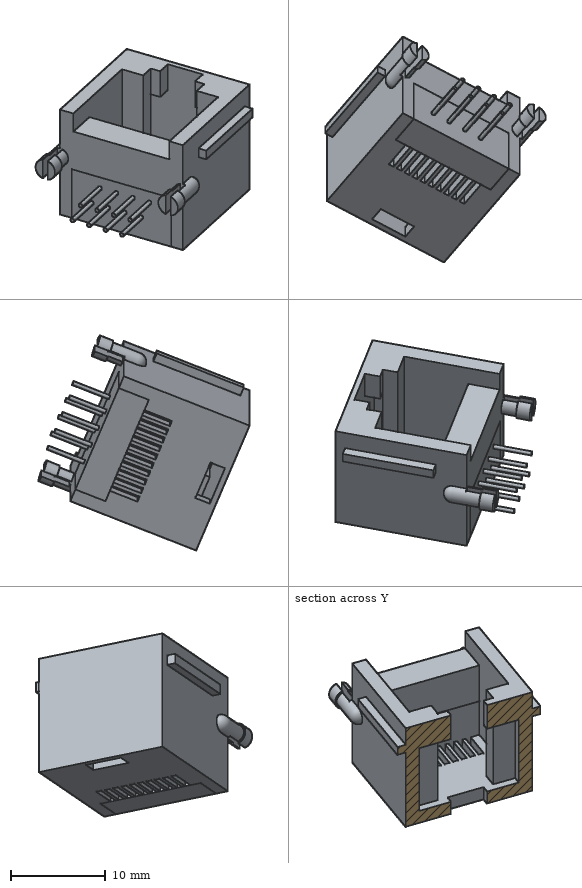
import cadquery as cq
import math


HOUSING_WIDTH = 15.0
HOUSING_LENGTH = 14.45
HOUSING_HEIGHT = 13.0

FRONT_WALL = 3.45
SIDE_WALL = 1.65
FLOOR_THICKNESS = SIDE_WALL
CAVITY_WIDTH = HOUSING_WIDTH - 2 * SIDE_WALL
KEYWAY_WIDTH = 6.53
LATCH_WIDTH = 4.25
CAVITY_BACK_WALL = 3.94
KEYWAY_BACK_WALL = 2.3
LATCH_BACK_WALL = 0.63
CATCH_HEIGHT = 3.19
ENTRY_NOTCH_DEPTH = 2.24

SLOT_COUNT = 10
SLOT_PITCH = 1.0
SLOT_WIDTH = 0.6
SLOT_LENGTH = 3.17

RAIL_PROTRUSION = 0.95
RAIL_HEIGHT = 1.08
RAIL_LENGTH = 10.0
RAIL_BACK_INSET = 1.06
RAIL_TOP_INSET = 2.16

PEG_RADIUS = 1.0
PEG_HEAD_RADIUS = 1.2
PEG_HEAD_LENGTH = 1.51
PEG_REACH = 3.19
PEG_EMBEDDED_LENGTH = 1.5
PEG_SPLIT = 0.62
PEG_Z = 7.2

CARRIER_WIDTH = 12.16
CARRIER_HEIGHT = 6.05
CARRIER_DEPTH = FRONT_WALL

PIN_DIAMETER = 0.47
PIN_LENGTH = 4.2
PINS_PER_ROW = 4
PIN_PITCH = 2 * SLOT_PITCH
LOWER_ROW_X = -0.6
UPPER_ROW_X = LOWER_ROW_X + PIN_PITCH / 2
LOWER_ROW_Z = 2.6
UPPER_ROW_Z = 4.72


def centred_box(width, y_front, y_back, z_bottom, z_top):
    """Box centred on X = 0 that spans the given Y and Z ranges."""
    corner = cq.Vector(-width / 2, y_front, z_bottom)
    return cq.Workplane(cq.Solid.makeBox(width, y_back - y_front, z_top - z_bottom, corner))


def make_cavity():
    """Stepped plug opening, with a recess under the catches beside the latch notch."""
    top = HOUSING_HEIGHT
    keyway_back = HOUSING_LENGTH - KEYWAY_BACK_WALL
    latch_back = HOUSING_LENGTH - LATCH_BACK_WALL
    body = centred_box(CAVITY_WIDTH, FRONT_WALL, HOUSING_LENGTH - CAVITY_BACK_WALL, FLOOR_THICKNESS, top)
    keyway = centred_box(KEYWAY_WIDTH, FRONT_WALL, keyway_back, FLOOR_THICKNESS, top)
    latch_notch = centred_box(LATCH_WIDTH, keyway_back, latch_back, 0, top)
    catch_recess = centred_box(CAVITY_WIDTH, keyway_back, latch_back, FLOOR_THICKNESS, top - CATCH_HEIGHT)
    entry_notch = centred_box(CAVITY_WIDTH, 0, FRONT_WALL, top - ENTRY_NOTCH_DEPTH, top)
    return body.union(keyway).union(latch_notch).union(catch_recess).union(entry_notch)


def make_contact_slots():
    """Row of slots through the floor, running back from the front wall."""
    slot = centred_box(SLOT_WIDTH, FRONT_WALL, FRONT_WALL + SLOT_LENGTH, 0, FLOOR_THICKNESS)
    slots = cq.Workplane()
    for index in range(SLOT_COUNT):
        x = (index - (SLOT_COUNT - 1) / 2) * SLOT_PITCH
        slots = slots.add(slot.translate((x, 0, 0)))
    return slots.combine()


def make_rails():
    """Both side rails as one bar across the housing, to be joined before the cavity is cut."""
    y_back = HOUSING_LENGTH - RAIL_BACK_INSET
    z_top = HOUSING_HEIGHT - RAIL_TOP_INSET
    width = HOUSING_WIDTH + 2 * RAIL_PROTRUSION
    return centred_box(width, y_back - RAIL_LENGTH, y_back, z_top - RAIL_HEIGHT, z_top)


def make_peg(x):
    """Peg with a domed rear end and a wider head, split in two ahead of the front face."""
    dome_offset = PEG_RADIUS * math.sqrt(0.5)
    outline = (
        cq.Workplane("XY")
        .moveTo(0, -PEG_REACH)
        .lineTo(PEG_HEAD_RADIUS, -PEG_REACH)
        .lineTo(PEG_HEAD_RADIUS, PEG_HEAD_LENGTH - PEG_REACH)
        .lineTo(PEG_RADIUS, PEG_HEAD_LENGTH - PEG_REACH)
        .lineTo(PEG_RADIUS, PEG_EMBEDDED_LENGTH)
        .threePointArc(
            (dome_offset, PEG_EMBEDDED_LENGTH + dome_offset),
            (0, PEG_EMBEDDED_LENGTH + PEG_RADIUS),
        )
        .close()
    )
    peg = outline.revolve(360, (0, 0, 0), (0, 1, 0)).translate((0, 0, PEG_Z))
    split = centred_box(PEG_SPLIT, -PEG_REACH, 0, PEG_Z - PEG_HEAD_RADIUS, PEG_Z + PEG_HEAD_RADIUS)
    return peg.cut(split).translate((x, 0, 0))


def make_carrier():
    """Plain block set flush into the lower front wall."""
    return centred_box(CARRIER_WIDTH, 0, CARRIER_DEPTH, 0, CARRIER_HEIGHT)


def make_housing():
    """Jack housing with its rails and pegs, hollowed for the plug and the contact carrier."""
    housing = centred_box(HOUSING_WIDTH, 0, HOUSING_LENGTH, 0, HOUSING_HEIGHT).union(make_rails())
    for side in (-1, 1):
        housing = housing.union(make_peg(side * HOUSING_WIDTH / 2))
    return housing.cut(make_cavity()).cut(make_contact_slots()).cut(make_carrier())


def make_pin(x, z):
    """Round contact pin standing on the front face of the carrier."""
    base = cq.Vector(x, 0, z)
    forward = cq.Vector(0, -1, 0)
    return cq.Workplane(cq.Solid.makeCylinder(PIN_DIAMETER / 2, PIN_LENGTH, base, forward))


housing = make_housing()
carrier = make_carrier()

pins = []
for row_x, row_z in ((LOWER_ROW_X, LOWER_ROW_Z), (UPPER_ROW_X, UPPER_ROW_Z)):
    for index in range(PINS_PER_ROW):
        pin_x = row_x + (index - (PINS_PER_ROW - 1) / 2) * PIN_PITCH
        pins.append(make_pin(pin_x, row_z).val())

result = cq.Compound.makeCompound([housing.val(), carrier.val(), *pins])